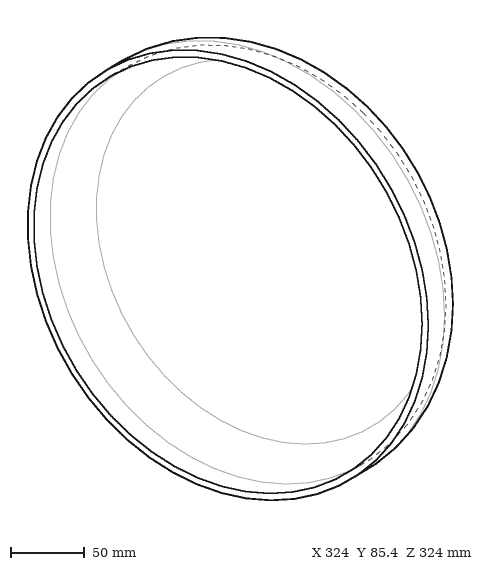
import cadquery as cq
import math

outer_diameter = 324.0
inner_diameter = 314.0
flange_length = 20.0

wall = (outer_diameter - inner_diameter) / 2
inner_crown_radius = outer_diameter
inner_knuckle_radius = outer_diameter / 10

knuckle_center_x = inner_diameter / 2 - inner_knuckle_radius
center_distance = inner_crown_radius - inner_knuckle_radius
tangent_angle = math.asin(knuckle_center_x / center_distance)
crown_center_y = -center_distance * math.cos(tangent_angle)

total_depth = crown_center_y + inner_crown_radius + wall + flange_length
rim_y = -total_depth / 2
knuckle_start_y = rim_y + flange_length


def crown_point(offset, angle):
    """Point on the crown, offset outward from the inner skin, at an angle from the axis."""
    radius = inner_crown_radius + offset
    return (
        radius * math.sin(angle),
        knuckle_start_y + crown_center_y + radius * math.cos(angle),
    )


def knuckle_middle(offset):
    """Point halfway along the knuckle arc, offset outward from the inner skin."""
    radius = inner_knuckle_radius + offset
    angle = (tangent_angle + math.pi / 2) / 2
    return (
        knuckle_center_x + radius * math.sin(angle),
        knuckle_start_y + radius * math.cos(angle),
    )


half_section = (
    cq.Workplane("XY")
    .moveTo(inner_diameter / 2, rim_y)
    .lineTo(outer_diameter / 2, rim_y)
    .lineTo(outer_diameter / 2, knuckle_start_y)
    .threePointArc(knuckle_middle(wall), crown_point(wall, tangent_angle))
    .threePointArc(crown_point(wall, tangent_angle / 2), crown_point(wall, 0))
    .lineTo(*crown_point(0, 0))
    .threePointArc(crown_point(0, tangent_angle / 2), crown_point(0, tangent_angle))
    .threePointArc(knuckle_middle(0), (inner_diameter / 2, knuckle_start_y))
    .close()
)

result = half_section.revolve(360, (0, 0, 0), (0, 1, 0))